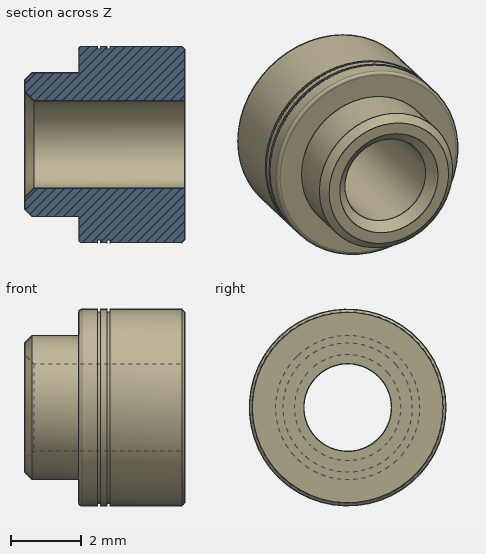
import cadquery as cq

total_length = 4.53
body_diameter = 5.56
neck_diameter = 4.075
neck_length = 1.53
bore_diameter = 2.47

neck_chamfer = 0.21
body_edge_fillet = 0.09
body_end_chamfer = 0.09
bore_mouth_diameter = 3.0
bore_mouth_depth = 0.265

groove_width = 0.08
groove_depth = 0.07
first_groove_offset = 0.535
groove_pitch = 0.27


def cylinder(start, length, diameter):
    """Solid cylinder on the X axis, starting at X = start."""
    return cq.Workplane("YZ", origin=(start, 0, 0)).circle(diameter / 2).extrude(length)


def make_body():
    body = cylinder(neck_length, total_length - neck_length, body_diameter)
    body = body.faces("<X").edges().fillet(body_edge_fillet)
    return body.faces(">X").edges().chamfer(body_end_chamfer)


def make_neck():
    neck = cylinder(0, neck_length, neck_diameter)
    return neck.faces("<X").edges().chamfer(neck_chamfer)


def make_groove(start):
    outer = cylinder(start, groove_width, body_diameter + 2 * groove_depth)
    return outer.cut(cylinder(start, groove_width, body_diameter - 2 * groove_depth))


def make_bore_mouth():
    """Conical lead-in at the neck end of the bore."""
    return (
        cq.Workplane("YZ")
        .circle(bore_mouth_diameter / 2)
        .workplane(offset=bore_mouth_depth)
        .circle(bore_diameter / 2)
        .loft(ruled=True)
    )


result = make_body().union(make_neck())
for groove_index in range(2):
    groove_start = neck_length + first_groove_offset + groove_index * groove_pitch
    result = result.cut(make_groove(groove_start))
result = result.cut(cylinder(0, total_length, bore_diameter))
result = result.cut(make_bore_mouth())